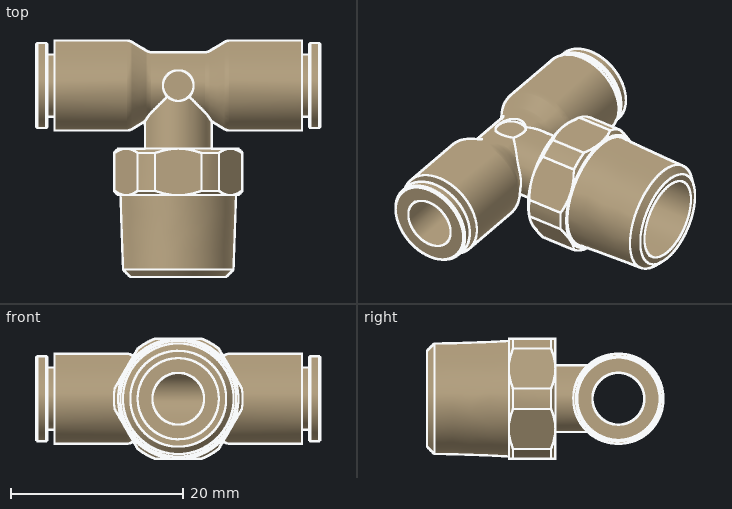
import cadquery as cq


run_length = 33.0
body_radius = 5.25
waist_radius = 3.9
body_end = 14.4
cone_outer = 5.65
cone_inner = 3.43
cone_blend = 1.05

collar_radius = 4.95
collar_width = 1.3
collar_chamfer = 0.15
neck_radius = 3.63

hex_back = 7.33
hex_front = 12.75
thread_end = 22.25
hex_sides = 6
hex_across_flats = 14.0
hex_corner_radius = 7.5
hex_chamfer_length = 0.5
hex_turn = 180 / hex_sides
thread_root_radius = 6.73
thread_tip_radius = 6.45
thread_chamfer = 0.85

bore_radius = 3.0
stud_bore_radius = 4.72
stud_floor = 9.35

recess_radius = 1.78
recess_floor = 3.43


def along_branch(radius, start, end):
    """Cylinder on the branch axis between two distances from the run axis."""
    return cq.Workplane("XZ").workplane(offset=start).circle(radius).extrude(end - start)


def revolve_on_branch(points):
    """Solid of revolution about Y from (radius, distance along -Y) points."""
    outline = [(radius, -distance) for radius, distance in points]
    return cq.Workplane("XY").polyline(outline).close().revolve(360, (0, 0, 0), (0, 1, 0))


def make_arm():
    """Half of the run on the +X side, without its bore."""
    outline = [
        (0, 0),
        (0, waist_radius),
        (cone_inner, waist_radius),
        (cone_outer, body_radius),
        (body_end, body_radius),
        (body_end, 0),
    ]
    arm = cq.Workplane("XY").polyline(outline).close().revolve(360, (0, 0, 0), (1, 0, 0))
    arm = arm.faces("%CONE").edges("%CIRCLE").fillet(cone_blend)

    run_end = run_length / 2
    collar_start = run_end - collar_width
    neck = cq.Workplane("YZ").workplane(offset=body_end).circle(neck_radius).extrude(collar_start - body_end)
    collar = cq.Workplane("YZ").workplane(offset=collar_start).circle(collar_radius).extrude(collar_width)
    collar = collar.edges().chamfer(collar_chamfer)
    return arm.union(neck).union(collar)


def make_nut():
    """Hexagon with flats facing +Z and -Z, its corners turned down and chamfered."""
    flat_radius = hex_across_flats / 2
    hexagon = (
        cq.Workplane("XZ")
        .workplane(offset=hex_back)
        .polygon(hex_sides, hex_across_flats, circumscribed=True)
        .extrude(hex_front - hex_back)
        .rotate((0, 0, 0), (0, 1, 0), hex_turn)
    )
    turned = revolve_on_branch([
        (0, hex_back),
        (flat_radius, hex_back),
        (hex_corner_radius, hex_back + hex_chamfer_length),
        (hex_corner_radius, hex_front - hex_chamfer_length),
        (flat_radius, hex_front),
        (0, hex_front),
    ])
    return hexagon.intersect(turned)


def make_thread():
    """Tapered, unthreaded envelope of the male stud with a chamfered tip."""
    return revolve_on_branch([
        (0, hex_front),
        (thread_root_radius, hex_front),
        (thread_tip_radius, thread_end - thread_chamfer),
        (thread_tip_radius - thread_chamfer, thread_end),
        (0, thread_end),
    ])


arm = make_arm()
stem = along_branch(waist_radius, 0, hex_back)
recess_depth = waist_radius - recess_floor
recess = cq.Workplane("XY").workplane(offset=recess_floor).circle(recess_radius).extrude(recess_depth)
outside = arm.union(arm.mirror("YZ")).union(stem).union(make_nut()).union(make_thread())

run_bore = cq.Workplane("YZ").circle(bore_radius).extrude(run_length / 2, both=True)
branch_bore = along_branch(bore_radius, 0, thread_end)
stud_bore = along_branch(stud_bore_radius, stud_floor, thread_end)

result = outside.cut(recess).cut(run_bore).cut(branch_bore).cut(stud_bore)